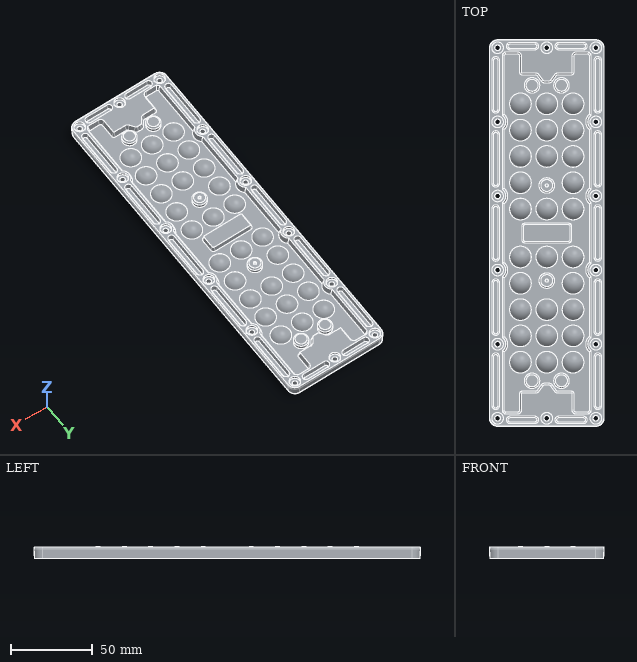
import cadquery as cq
import math

length = 236.0
width = 70.0
corner_radius = 5.2
parting_z = 5.7
rim_z = 7.0
upper_draft_inset = 0.2
lower_draft_inset = 0.35
overall_height = 7.3

floor_z = 3.0
cavity_half_width = 26.0
cavity_half_length = 109.3
wall_run = 1.2
cavity_depth = rim_z - floor_z
wall_draft = math.degrees(math.atan(wall_run / cavity_depth))

tab_half_width = 16.5
tab_edge_y = 96.5
tab_corner_radius = 1.5
tab_mouth_radius = 1.5
nose_base_radius = 1.5
nose_tip_radius = 2.8
nose_base_half_width = 6.1
nose_tip_half_width = 2.5
nose_tip_y = 91.5

hole_diameter = 3.3
counterbore_diameter = 7.0
counterbore_depth = 2.1
hole_x = 30.0
hole_y = 113.0
holes_per_side = 6
hole_pitch = 2 * hole_y / (holes_per_side - 1)
pad_radius = 6.1

slot_width = 4.5
slot_depth = 3.3
slot_wall_run = 1.0
slot_draft = math.degrees(math.atan(slot_wall_run / slot_depth))
side_slot_length = 34.5
side_slot_x = 31.2
end_slot_length = 19.5
end_slot_x = 14.9
end_slot_y = 114.0

lens_radius = 6.5
lens_pitch = 16.0
lens_rows = 5
lens_columns = 3
middle_column = lens_columns // 2
first_lens_y = 14.6
lens_height = overall_height - floor_z
post_row = 1

post_radius = 4.7
post_height = 3.8
post_chamfer = 1.06
centre_post_y = 29.0
centre_post_dimple_diameter = 2.0
centre_post_dimple_depth = 1.0
end_post_x = 9.0
end_post_y = 90.1

block_length = 30.5
block_width = 12.0
block_height = 3.3
block_corner_radius = 2.0
block_wall_run = 1.0
block_draft = math.degrees(math.atan(block_wall_run / block_height))


def plate_outline(z, inset):
    outline = (
        cq.Sketch()
        .rect(width - 2 * inset, length - 2 * inset)
        .vertices()
        .fillet(corner_radius - inset)
    )
    return outline.moved(cq.Location(cq.Vector(0, 0, z)))


def drafted_body():
    bottom = plate_outline(0, lower_draft_inset)
    middle = plate_outline(parting_z, 0)
    top = plate_outline(rim_z, upper_draft_inset)
    lower = cq.Workplane("XY").placeSketch(bottom, middle).loft(ruled=True)
    upper = cq.Workplane("XY").placeSketch(middle, top).loft(ruled=True)
    return lower.union(upper)


def cavity_outline():
    """Cavity floor outline, running around the tab at each end."""
    corner = (cavity_half_width, cavity_half_length)
    mouth = (tab_half_width, cavity_half_length)
    tab_corner = (tab_half_width, tab_edge_y)
    nose_base = (nose_base_half_width, tab_edge_y)
    nose_tip = (nose_tip_half_width, nose_tip_y)
    right_half_end = [corner, mouth, tab_corner, nose_base, nose_tip]
    left_half_end = [(-x, y) for x, y in reversed(right_half_end)]
    upper_end = right_half_end + left_half_end
    lower_end = [(-x, -y) for x, y in upper_end]
    outline = cq.Sketch().polygon(upper_end + lower_end + [corner])

    rounded_points = [
        (mouth, tab_mouth_radius),
        (tab_corner, tab_corner_radius),
        (nose_base, nose_base_radius),
        (nose_tip, nose_tip_radius),
    ]
    for (x, y), radius in rounded_points:
        for side in (-1, 1):
            for end in (-1, 1):
                nearest = cq.selectors.NearestToPointSelector((side * x, end * y, 0))
                outline = outline.vertices(nearest).fillet(radius).reset()
    return outline


def hole_points():
    sides = [
        (side * hole_x, -hole_y + row * hole_pitch)
        for side in (-1, 1)
        for row in range(holes_per_side)
    ]
    return sides + [(0, -hole_y), (0, hole_y)]


def cavity():
    pocket = (
        cq.Workplane("XY", origin=(0, 0, floor_z))
        .placeSketch(cavity_outline())
        .extrude(cavity_depth, taper=-wall_draft)
    )
    for x, y in hole_points():
        pad = (
            cq.Workplane("XY", origin=(x, y, floor_z))
            .circle(pad_radius)
            .extrude(cavity_depth, taper=wall_draft)
        )
        pocket = pocket.cut(pad)
    return pocket


def tapered_slot(x, y, slot_length, angle):
    return (
        cq.Workplane("XY", origin=(x, y, rim_z))
        .slot2D(slot_length, slot_width, angle)
        .extrude(-slot_depth, taper=slot_draft)
    )


def cut_slots(body):
    for side in (-1, 1):
        for gap in range(holes_per_side - 1):
            y = -hole_y + (gap + 0.5) * hole_pitch
            body = body.cut(tapered_slot(side * side_slot_x, y, side_slot_length, 90))
        for end in (-1, 1):
            body = body.cut(tapered_slot(side * end_slot_x, end * end_slot_y, end_slot_length, 0))
    return body


def cut_screw_holes(body):
    return (
        body.faces(">Z")
        .workplane(origin=(0, 0, rim_z))
        .pushPoints(hole_points())
        .cboreHole(hole_diameter, counterbore_diameter, counterbore_depth)
    )


def lens():
    """Spherical cap standing on the origin."""
    sphere_radius = (lens_radius**2 + lens_height**2) / (2 * lens_height)
    return (
        cq.Workplane("XZ")
        .moveTo(0, 0)
        .lineTo(lens_radius, 0)
        .radiusArc((0, lens_height), -sphere_radius)
        .close()
        .revolve(360, (0, 0, 0), (0, 1, 0))
    )


def post(x, y):
    return (
        cq.Workplane("XY", origin=(x, y, floor_z))
        .circle(post_radius)
        .extrude(post_height)
        .faces(">Z")
        .chamfer(post_chamfer)
    )


def centre_block():
    return (
        cq.Workplane("XY", origin=(0, 0, floor_z))
        .sketch()
        .rect(block_length, block_width)
        .vertices()
        .fillet(block_corner_radius)
        .finalize()
        .extrude(block_height, taper=block_draft)
    )


def add_lenses(body):
    for end in (-1, 1):
        for row in range(lens_rows):
            for column in range(lens_columns):
                if row == post_row and column == middle_column:
                    continue
                x = (column - middle_column) * lens_pitch
                y = end * (first_lens_y + row * lens_pitch)
                body = body.union(lens().translate((x, y, floor_z)))
    return body


def add_posts(body):
    for end in (-1, 1):
        dimple = (
            cq.Workplane("XY", origin=(0, end * centre_post_y, floor_z + post_height))
            .circle(centre_post_dimple_diameter / 2)
            .extrude(-centre_post_dimple_depth)
        )
        body = body.union(post(0, end * centre_post_y).cut(dimple))
        for side in (-1, 1):
            body = body.union(post(side * end_post_x, end * end_post_y))
    return body


result = drafted_body().cut(cavity())
result = cut_slots(result)
result = cut_screw_holes(result)
result = add_lenses(result)
result = add_posts(result)
result = result.union(centre_block())